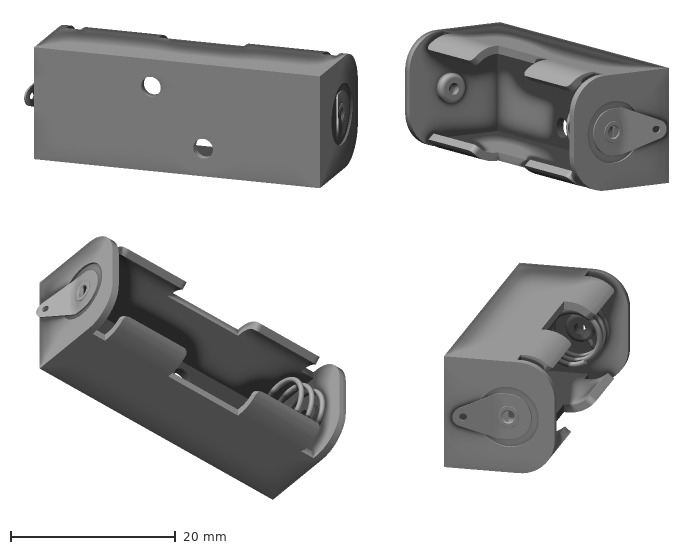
import cadquery as cq
import math

contact_span = 40.45
housing_length = 36.83
housing_depth = 13.9
housing_height = 14.2
wall = 1.0
end_wall = 0.97
corner_radius = 4.5
side_wall_depth = 8.9

clip_length = 10.0
clip_end_gap = 2.9
clip_depth = 12.8
clip_corner_radius = 0.73

mount_hole_diameter = 2.5
mount_hole_x = 3.35
mount_hole_z = 3.6

contact_axis_y = 8.05
recess_radius = 3.85
plate_radius = 2.87
plate_thickness = 0.2
tab_hole_offset = 5.3
tab_hole_radius = 0.45
taper_offset = 1.38
tab_tip_radius = 1.2
bend_offset = 0.6
bend_angle = math.radians(20)
bend_radius = 3.85
shank_radius = 1.35
flange_height = 0.1
flange_fillet = 0.05
bore_radius = 0.73
bore_chamfer = 0.12
button_radius = 1.85
button_height = 1.0
button_fillet = 0.53
bore_web_thickness = 0.2

wire_radius = 0.345
coil_radius = 3.28
coil_pitch = 1.65
coil_turns = 3
coil_start_angle = -56.0

half_length = housing_length / 2
half_height = housing_height / 2
inner_end_x = half_length - end_wall
arc_center_y = housing_depth - corner_radius
arc_center_z = half_height - corner_radius
inner_corner_radius = corner_radius - wall

tab_tip_drop = tab_hole_offset + tab_tip_radius
bend_end_drop = bend_offset + bend_radius * math.sin(bend_angle)
bend_rise = bend_radius * (1 - math.cos(bend_angle))
tab_rise = bend_rise + (tab_tip_drop - bend_end_drop) * math.tan(bend_angle)
plate_outer_x = contact_span / 2 - tab_rise
plate_inner_x = plate_outer_x - plate_thickness
button_inner_x = inner_end_x - button_height


def x_cylinder(radius, x_start, x_end, y=contact_axis_y):
    """Cylinder along X between two X positions."""
    return cq.Workplane("YZ", origin=(x_start, y, 0)).circle(radius).extrude(x_end - x_start)


def make_blank():
    """Solid block with two rounded corners on the open side, centred on X and Z."""
    block = cq.Workplane("XY").box(housing_length, housing_depth, housing_height, centered=(True, False, True))
    return block.edges("|X and >Y").fillet(corner_radius)


def make_clip(x_start):
    """Curved clip continuing one side wall around the cell and ending on a radial face."""
    tip_angle = math.asin((clip_depth - arc_center_y) / corner_radius)

    def arc_point(radius, angle):
        return (arc_center_y + radius * math.sin(angle), arc_center_z + radius * math.cos(angle))

    clip = (
        cq.Workplane("YZ", origin=(x_start, 0, 0))
        .moveTo(side_wall_depth, half_height)
        .lineTo(*arc_point(corner_radius, 0))
        .threePointArc(arc_point(corner_radius, tip_angle / 2), arc_point(corner_radius, tip_angle))
        .lineTo(*arc_point(inner_corner_radius, tip_angle))
        .threePointArc(arc_point(inner_corner_radius, tip_angle / 2), arc_point(inner_corner_radius, 0))
        .lineTo(side_wall_depth, half_height - wall)
        .close()
        .extrude(clip_length)
    )
    tip_y, tip_z = arc_point((corner_radius + inner_corner_radius) / 2, tip_angle)
    margin = 0.05
    for x in (x_start, x_start + clip_length):
        corner = cq.selectors.BoxSelector(
            (x - margin, tip_y - margin, tip_z - margin),
            (x + margin, tip_y + margin, tip_z + margin),
        )
        clip = clip.edges(corner).fillet(clip_corner_radius)
    return clip


def make_housing():
    """Open trough with two end walls, four clips, contact seats and two mounting holes."""
    body = make_blank()

    trough = cq.Workplane("XY").box(
        2 * inner_end_x, housing_depth, housing_height - 2 * wall, centered=(True, False, True)
    ).translate((0, wall, 0))
    above_walls = cq.Workplane("XY").box(
        2 * inner_end_x, housing_depth, housing_height, centered=(True, False, True)
    ).translate((0, side_wall_depth, 0))
    body = body.cut(trough).cut(above_walls)

    for x_start in (-half_length + clip_end_gap, half_length - clip_end_gap - clip_length):
        clip = make_clip(x_start)
        body = body.union(clip).union(clip.mirror("XY"))

    seat = x_cylinder(recess_radius, plate_inner_x, half_length)
    seat = seat.union(x_cylinder(shank_radius, inner_end_x, half_length))
    body = body.cut(seat).cut(seat.mirror("YZ"))

    for side in (-1, 1):
        hole = cq.Workplane("XZ", origin=(side * mount_hole_x, 0, -side * mount_hole_z))
        body = body.cut(hole.circle(mount_hole_diameter / 2).extrude(-wall))
    return body


def make_plate():
    """Round contact plate with a tapered solder tab bent outwards, at the +X end."""
    tip_y = contact_axis_y - tab_tip_drop
    bend_start_y = contact_axis_y - bend_offset
    bend_center = (plate_outer_x + bend_radius, bend_start_y)
    outer_bend_radius = bend_radius + plate_thickness

    def bend_point(radius, angle):
        return (bend_center[0] - radius * math.cos(angle), bend_center[1] - radius * math.sin(angle))

    inner_bend_end = bend_point(outer_bend_radius, bend_angle)
    inner_tip_x = inner_bend_end[0] + (inner_bend_end[1] - tip_y) * math.tan(bend_angle)
    sheet = (
        cq.Workplane("XY", origin=(0, 0, -plate_radius))
        .moveTo(plate_inner_x, contact_axis_y + plate_radius)
        .lineTo(plate_outer_x, contact_axis_y + plate_radius)
        .lineTo(plate_outer_x, bend_start_y)
        .threePointArc(bend_point(bend_radius, bend_angle / 2), bend_point(bend_radius, bend_angle))
        .lineTo(contact_span / 2, tip_y)
        .lineTo(inner_tip_x, tip_y)
        .lineTo(*inner_bend_end)
        .threePointArc(bend_point(outer_bend_radius, bend_angle / 2), (plate_inner_x, bend_start_y))
        .close()
        .extrude(2 * plate_radius)
    )

    tip_center_y = contact_axis_y - tab_hole_offset
    taper_start_y = contact_axis_y - taper_offset
    taper_run = taper_start_y - tip_center_y
    corner_angle = math.atan2(plate_radius, taper_run)
    taper = corner_angle - math.asin(tab_tip_radius / math.hypot(taper_run, plate_radius))
    tip_tangent = (tip_center_y - tab_tip_radius * math.sin(taper), tab_tip_radius * math.cos(taper))
    outline = (
        cq.Workplane("YZ", origin=(plate_inner_x, 0, 0))
        .moveTo(taper_start_y, plate_radius)
        .lineTo(contact_axis_y, plate_radius)
        .threePointArc((contact_axis_y + plate_radius, 0), (contact_axis_y, -plate_radius))
        .lineTo(taper_start_y, -plate_radius)
        .lineTo(tip_tangent[0], -tip_tangent[1])
        .threePointArc((tip_y, 0), tip_tangent)
        .close()
        .extrude(contact_span / 2 - plate_inner_x)
    )
    solder_hole = x_cylinder(tab_hole_radius, plate_inner_x, contact_span / 2, tip_center_y)
    return sheet.intersect(outline).cut(solder_hole)


def make_contact():
    """Contact for the +X end: plate and tab, shank through the wall, button inside."""
    shank_outer_x = plate_outer_x + flange_height
    shank = x_cylinder(shank_radius, inner_end_x, shank_outer_x).faces(">X").edges().fillet(flange_fillet)
    button = x_cylinder(button_radius, button_inner_x, inner_end_x).faces("<X").edges().fillet(button_fillet)
    bore = x_cylinder(bore_radius, button_inner_x, shank_outer_x)

    web_side = cq.Workplane("XY").box(
        bore_web_thickness, bore_radius, 2 * bore_radius, centered=(False, False, True)
    ).translate((plate_inner_x, contact_axis_y - bore_radius, 0))
    bore = bore.cut(web_side)
    mouth = cq.Workplane(obj=cq.Solid.makeCone(
        bore_radius, bore_radius + bore_chamfer, bore_chamfer,
        cq.Vector(shank_outer_x - bore_chamfer, contact_axis_y, 0), cq.Vector(1, 0, 0),
    ))
    return make_plate().union(shank).union(button).cut(bore).cut(mouth)


def make_spring():
    """Coil spring on the -X end wall, with a radial leg joining it to the button."""
    start_x = -inner_end_x + wire_radius
    angle = math.radians(coil_start_angle)
    radial = cq.Vector(0, math.cos(angle), math.sin(angle))
    axis_point = cq.Vector(start_x, contact_axis_y, 0)

    z_to_x_turn = 120
    helix = cq.Wire.makeHelix(coil_pitch, coil_pitch * coil_turns, coil_radius)
    coil = (
        cq.Workplane("XZ", origin=(coil_radius, 0, 0))
        .circle(wire_radius)
        .sweep(cq.Workplane(obj=helix), isFrenet=True)
        .rotate((0, 0, 0), (1, 1, 1), z_to_x_turn)
        .rotate((0, 0, 0), (1, 0, 0), coil_start_angle)
        .translate(axis_point)
    )
    leg_start_radius = (bore_radius + button_radius) / 2
    leg_start = axis_point + radial * leg_start_radius
    leg_length = coil_radius - leg_start_radius
    leg = cq.Workplane(obj=cq.Solid.makeCylinder(wire_radius, leg_length, leg_start, radial))
    return coil.union(leg)


housing = make_housing()
button_contact = make_contact()
spring_contact = make_contact().mirror("YZ").union(make_spring())

result = cq.Compound.makeCompound([housing.val(), button_contact.val(), spring_contact.val()])